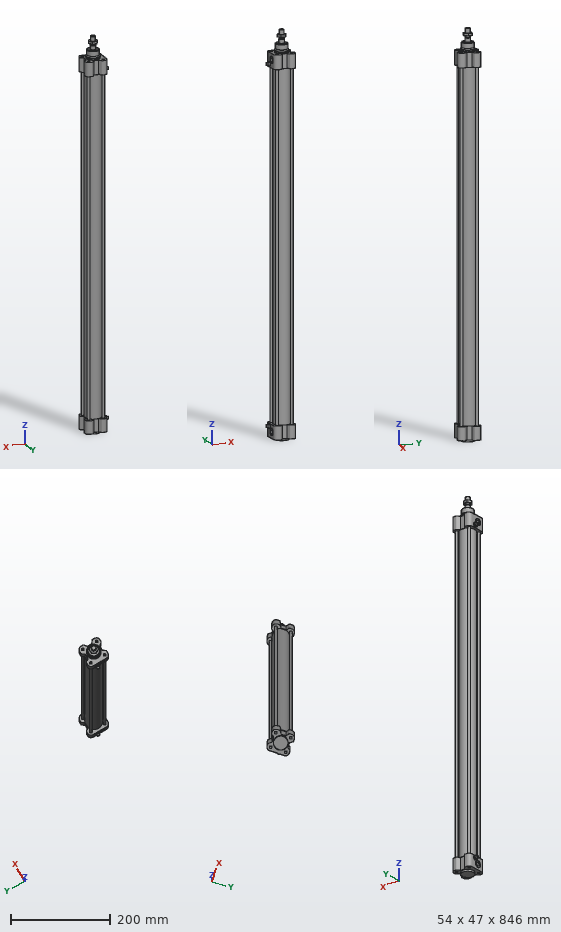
import cadquery as cq
import math


total_length = 846.0
thread_length = 19.0
rod_shoulder_z = total_length - thread_length
head_top_z = 799.0
head_height = 30.5
head_bottom_z = head_top_z - head_height
base_bottom_z = 4.0
base_height = 29.0
base_top_z = base_bottom_z + base_height

cap_side = 47.0
cap_half = cap_side / 2
tie_offset = 16.0
corner_radius = 8.0
recess_floor = 17.0
recess_floor_half_width = 5.0
recess_mouth_half_width = 10.0
recess_mouth_fillet = 2.0

tube_diameter = 36.0
tie_diameter = 6.0
mount_hole_diameter = 5.2
mount_hole_depth = 16.0

relief_diameter = 29.0
relief_height = 2.5
spigot_diameter = 30.0
head_spigot_height = 5.0
nose_diameter = 26.0
nose_top_z = 818.0
nose_chamfer = 2.0
flare_height = 2.5

port_y = -3.8
port_recess_diameter = 15.0
port_recess_depth = 1.0
port_diameter = 8.5
port_depth = 8.5
screw_y = 6.35
screw_boss_diameter = 10.0
screw_boss_height = 2.5
screw_pin_diameter = 6.0
screw_reach = 30.5
head_port_z = 785.0
head_screw_z = 775.0
base_port_z = 18.0
base_screw_z = 28.0

rod_diameter = 12.0
thread_diameter = 10.0
thread_chamfer = 1.0
shoulder_cone_height = 2.0
nut_bottom_z = 831.0
nut_thickness = 5.0
nut_across_flats = 17.0
nut_across_corners = nut_across_flats / math.cos(math.pi / 6)


def rod_of(diameter, bottom_z, top_z):
    """Upright round bar on the Z axis."""
    return cq.Workplane("XY").workplane(offset=bottom_z).circle(diameter / 2).extrude(top_z - bottom_z)


def cone_of(bottom_diameter, top_diameter, bottom_z, height):
    """Upright truncated cone on the Z axis."""
    base_point = cq.Vector(0, 0, bottom_z)
    return cq.Workplane(cq.Solid.makeCone(bottom_diameter / 2, top_diameter / 2, height, pnt=base_point))


def bar_along_x(diameter, x_start, x_end, y, z):
    """Round bar parallel to the X axis."""
    plane = cq.Workplane("YZ", origin=(x_start, y, z))
    return plane.circle(diameter / 2).extrude(x_end - x_start)


def recess_points(angle):
    """Recess corners in the side whose outward direction has the given angle, in counterclockwise order."""
    cosine = math.cos(math.radians(angle))
    sine = math.sin(math.radians(angle))
    corners = [
        (cap_half, -recess_mouth_half_width),
        (recess_floor, -recess_floor_half_width),
        (recess_floor, recess_floor_half_width),
        (cap_half, recess_mouth_half_width),
    ]
    return [(out * cosine - along * sine, out * sine + along * cosine) for out, along in corners]


def cap(bottom_z, height, port_z, screw_z):
    """End cap with three recessed sides and a flat -X face that carries the port and cushion screw."""
    body = (
        cq.Workplane("XY")
        .workplane(offset=bottom_z)
        .rect(cap_side, cap_side)
        .extrude(height)
        .edges("|Z")
        .fillet(corner_radius)
    )
    for angle in (-90, 0, 90):
        corners = recess_points(angle)
        recess = cq.Workplane("XY").workplane(offset=bottom_z).polyline(corners).close()
        body = body.cut(recess.extrude(height))
        for x, y in (corners[0], corners[-1]):
            edge = cq.selectors.NearestToPointSelector((x, y, bottom_z + height / 2))
            body = body.edges(edge).fillet(recess_mouth_fillet)

    face_x = -cap_half
    body = body.cut(bar_along_x(port_recess_diameter, face_x, face_x + port_recess_depth, port_y, port_z))
    body = body.cut(bar_along_x(port_diameter, face_x, face_x + port_depth, port_y, port_z))
    boss_start_x = face_x - screw_boss_height
    boss_end_x = face_x + port_recess_depth
    body = body.union(bar_along_x(screw_boss_diameter, boss_start_x, boss_end_x, screw_y, screw_z))
    return body.union(bar_along_x(screw_pin_diameter, -screw_reach, face_x, screw_y, screw_z))


def corner_bars(diameter, bottom_z, height):
    """Four upright bars, one on each tie rod axis."""
    return (
        cq.Workplane("XY")
        .workplane(offset=bottom_z)
        .rect(2 * tie_offset, 2 * tie_offset, forConstruction=True)
        .vertices()
        .circle(diameter / 2)
        .extrude(height)
    )


def head_nose():
    """Stepped boss on the head: relief, spigot, conical flare and the nose around the rod."""
    relief_top_z = head_top_z + relief_height
    spigot_top_z = head_top_z + head_spigot_height
    relief = rod_of(relief_diameter, head_top_z, relief_top_z)
    spigot = rod_of(spigot_diameter, relief_top_z, spigot_top_z)
    flare = cone_of(spigot_diameter, nose_diameter, spigot_top_z, flare_height)
    nose = rod_of(nose_diameter, head_top_z, nose_top_z).faces(">Z").chamfer(nose_chamfer)
    return relief.union(spigot).union(flare).union(nose)


def make_housing():
    housing = rod_of(tube_diameter, base_top_z, head_bottom_z)
    housing = housing.union(cap(head_bottom_z, head_height, head_port_z, head_screw_z))
    housing = housing.union(cap(base_bottom_z, base_height, base_port_z, base_screw_z))
    ties = corner_bars(tie_diameter, base_top_z, head_bottom_z - base_top_z)
    housing = housing.union(ties)
    housing = housing.union(rod_of(spigot_diameter, 0, base_bottom_z))
    housing = housing.union(head_nose())
    for hole_bottom_z in (base_bottom_z, head_top_z - mount_hole_depth):
        housing = housing.cut(corner_bars(mount_hole_diameter, hole_bottom_z, mount_hole_depth))
    rod_bore = rod_of(rod_diameter, head_bottom_z, nose_top_z)
    return housing.cut(rod_bore)


def make_piston_rod():
    thread = rod_of(thread_diameter, rod_shoulder_z, total_length).faces(">Z").chamfer(thread_chamfer)
    cone_bottom_z = rod_shoulder_z - shoulder_cone_height
    cone = cone_of(rod_diameter, thread_diameter, cone_bottom_z, shoulder_cone_height)
    return rod_of(rod_diameter, head_bottom_z, cone_bottom_z).union(cone).union(thread)


def make_nut():
    hexagon = cq.Workplane("XY").workplane(offset=nut_bottom_z).polygon(6, nut_across_corners)
    nut = hexagon.extrude(nut_thickness)
    return nut.cut(rod_of(thread_diameter, nut_bottom_z, nut_bottom_z + nut_thickness))


housing = make_housing()
piston_rod = make_piston_rod()
nut = make_nut()

result = cq.Compound.makeCompound([housing.val(), piston_rod.val(), nut.val()])